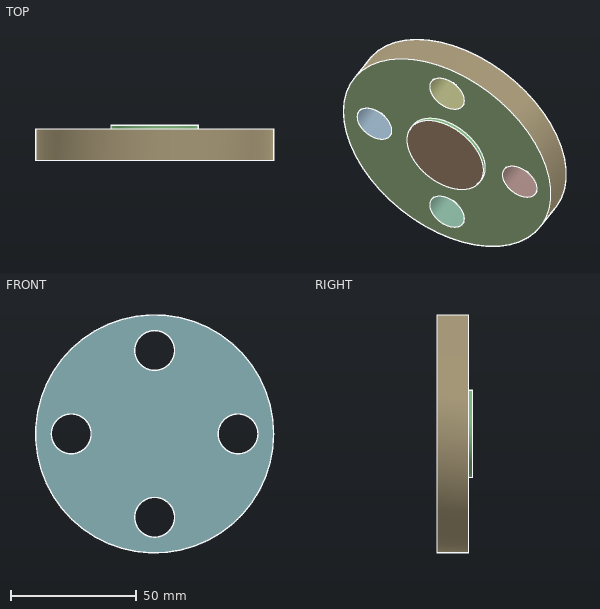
import cadquery as cq

flange_diameter = 95.2
total_thickness = 14.2
raised_face_diameter = 35.0
raised_face_height = 1.5
bolt_circle_diameter = 66.6
bolt_hole_diameter = 15.8
bolt_hole_count = 4

plate_thickness = total_thickness - raised_face_height


def disc(diameter, start_y, thickness):
    """Round disc growing toward +Y from start_y."""
    return (
        cq.Workplane("XZ", origin=(0, start_y, 0))
        .circle(diameter / 2)
        .extrude(-thickness)
    )


def bolt_holes():
    """Through holes equally spaced on the bolt circle, starting on the X axis."""
    return (
        cq.Workplane("XZ")
        .polarArray(bolt_circle_diameter / 2, 0, 360, bolt_hole_count)
        .circle(bolt_hole_diameter / 2)
        .extrude(-plate_thickness)
    )


plate = disc(flange_diameter, 0, plate_thickness)
raised_face = disc(raised_face_diameter, plate_thickness, raised_face_height)

result = plate.union(raised_face).cut(bolt_holes())